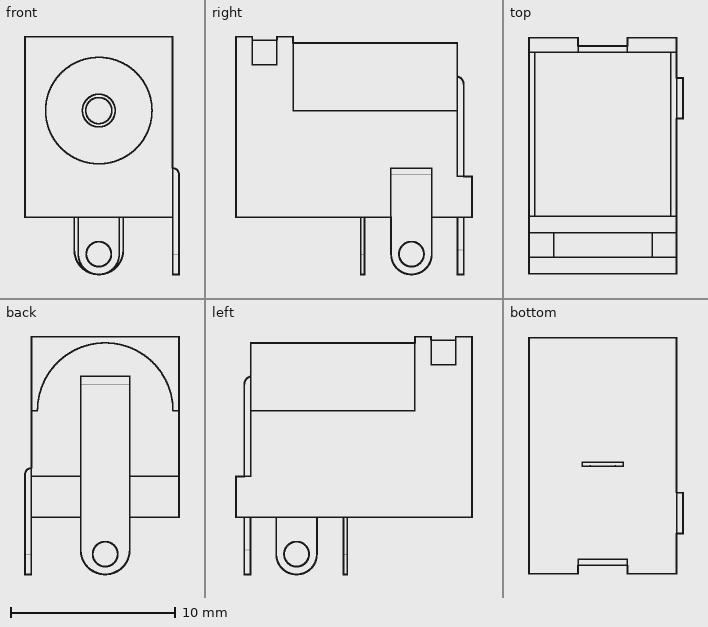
import cadquery as cq


width = 9.0
length = 14.4
overall_height = 14.5
terminal_drop = 3.5
height = overall_height - terminal_drop
head_length = 3.5
step_length = 0.9
step_height = 2.5
rear_face = length - step_length

axis_height = height - width / 2
barrel_radius = 4.13
bore_radius = 3.25
bore_depth = 10.0
pin_radius = 1.0
pin_chamfer = 0.2
pin_recess = 1.0

groove_start = 1.0
groove_width = 1.5
groove_depth = 1.7
pad_width = 6.0
pad_depth = 0.2

terminal_thickness = 0.39
terminal_hole_radius = 0.75
terminal_hole_height = -2.25
rear_terminal_width = 3.0
small_terminal_width = 2.5
rear_terminal_top = 8.6
rear_terminal_curve = 0.5
side_terminal_top = 3.0
side_terminal_curve = terminal_thickness
side_terminal_center = 10.7
middle_terminal_thickness = 0.25
middle_terminal_start = 7.6


def block(x_size, y_start, y_size, z_start, z_size):
    """Box centred on the jack axis in X."""
    return (
        cq.Workplane("XY")
        .box(x_size, y_size, z_size, centered=(True, False, False))
        .translate((0, y_start, z_start))
    )


def rod(radius, y_start, y_size):
    """Cylinder along the jack axis."""
    return (
        cq.Workplane("XZ", origin=(0, y_start, axis_height))
        .circle(radius)
        .extrude(-y_size)
    )


def make_housing():
    base = block(width, 0, rear_face, 0, axis_height)
    head = block(width, 0, head_length, 0, height)
    step = block(width, rear_face, step_length, 0, step_height)
    step_notch = block(rear_terminal_width, rear_face, step_length, 0, step_height)
    barrel = rod(barrel_radius, 0, rear_face)
    return base.union(head).union(barrel).union(step.cut(step_notch))


def make_groove():
    groove = block(width, groove_start, groove_width, height - groove_depth, groove_depth)
    pad = block(pad_width, groove_start, groove_width, height - groove_depth, groove_depth - pad_depth)
    return groove.cut(pad)


def make_pin():
    pin = rod(pin_radius, pin_recess, bore_depth - pin_recess)
    return pin.faces("<Y").chamfer(pin_chamfer)


def make_terminal(strip_width, thickness, top):
    """Upright strip with a round lower end and a hole; its inner face lies on Y = 0."""
    radius = strip_width / 2
    end_center = radius - terminal_drop
    strip = block(strip_width, 0, thickness, end_center, top - end_center)
    round_end = (
        cq.Workplane("XZ", origin=(0, 0, end_center)).circle(radius).extrude(-thickness)
    )
    hole = (
        cq.Workplane("XZ", origin=(0, 0, terminal_hole_height))
        .circle(terminal_hole_radius)
        .extrude(-thickness)
    )
    return strip.union(round_end).cut(hole)


def make_rounded_terminal(strip_width, top, curve_radius):
    """Terminal whose outer top edge curves in to the housing wall."""
    curve_center = top - curve_radius
    terminal = make_terminal(strip_width, terminal_thickness, curve_center)
    curve = (
        cq.Workplane("YZ", origin=(-strip_width / 2, terminal_thickness - curve_radius, curve_center))
        .circle(curve_radius)
        .extrude(strip_width)
    )
    outer_part = block(strip_width, 0, terminal_thickness, curve_center, curve_radius)
    return terminal.union(curve.intersect(outer_part))


rear_terminal = make_rounded_terminal(
    rear_terminal_width, rear_terminal_top, rear_terminal_curve
).translate((0, rear_face, 0))
side_terminal = (
    make_rounded_terminal(small_terminal_width, side_terminal_top, side_terminal_curve)
    .rotate((0, 0, 0), (0, 0, 1), -90)
    .translate((width / 2, side_terminal_center, 0))
)
middle_terminal = make_terminal(small_terminal_width, middle_terminal_thickness, 0).translate(
    (0, middle_terminal_start, 0)
)

result = (
    make_housing()
    .cut(make_groove())
    .cut(rod(bore_radius, 0, bore_depth))
    .union(make_pin())
    .union(rear_terminal)
    .union(side_terminal)
    .union(middle_terminal)
)